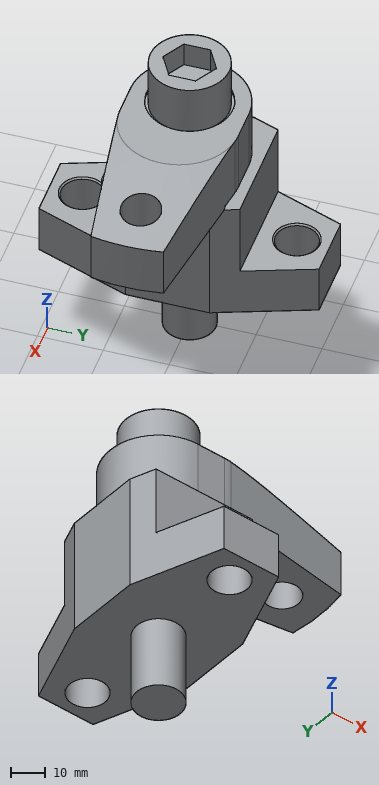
import cadquery as cq
import math

screw_length = 101.0
shank_radius = 8.0
head_radius = 12.0
head_height = 16.0
hex_across_flats = 14.0
hex_depth = 8.0

base_bottom = 25.0
base_height = 40.0
base_half_width = 21.0
base_half_length = 42.5
block_half_length = 21.0
straight_half_length = 12.7
side_taper_degrees = 20.0
flange_height = 16.0
mount_hole_offset = 32.5
mount_hole_diameter = 13.0
mount_hole_chamfer = 0.5

pad_radius = 18.0
pad_shift = 10.0
clamp_height = 21.0
arm_taper_degrees = 8.3
arm_reach = 60.0
arm_slope_degrees = 8.8
arm_hole_x = 46.0
arm_hole_diameter = 12.0
boss_radius = 16.0
boss_height = 1.0
relief_end_x = 19.7
seat_radius = 13.0

base_top = base_bottom + base_height
clamp_top = base_top + clamp_height
head_bottom = screw_length - head_height


def make_base():
    """Block with two tapered, drilled flanges and a bore for the screw."""
    taper = math.tan(math.radians(side_taper_degrees))
    end_half_width = base_half_width - (base_half_length - straight_half_length) * taper
    corners = [
        (base_half_width, straight_half_length),
        (end_half_width, base_half_length),
        (-end_half_width, base_half_length),
        (-base_half_width, straight_half_length),
        (-base_half_width, -straight_half_length),
        (-end_half_width, -base_half_length),
        (end_half_width, -base_half_length),
        (base_half_width, -straight_half_length),
    ]
    outline = cq.Workplane("XY", origin=(0, 0, base_bottom)).polyline(corners).close()
    base = outline.extrude(base_height)

    flange_top = base_bottom + flange_height
    flange_length = base_half_length - block_half_length
    flange_center_y = (base_half_length + block_half_length) / 2
    for side in (-1, 1):
        step = (
            cq.Workplane("XY", origin=(0, side * flange_center_y, flange_top))
            .rect(2 * base_half_width, flange_length)
            .extrude(base_height - flange_height)
        )
        base = base.cut(step)

    mouth_diameter = mount_hole_diameter + 2 * mount_hole_chamfer
    base = (
        base.copyWorkplane(cq.Workplane("XY", origin=(0, 0, flange_top)))
        .pushPoints([(0, -mount_hole_offset), (0, mount_hole_offset)])
        .cskHole(mount_hole_diameter, mouth_diameter, 90)
    )

    bore = cq.Workplane("XY").circle(shank_radius).extrude(base_top)
    return base.cut(bore)


def make_arm_slope():
    """Cutter above the arm: its underside is a cone falling away from the pad."""
    outer_radius = arm_reach + pad_radius
    drop = (outer_radius - pad_radius) * math.tan(math.radians(arm_slope_degrees))
    profile = (
        cq.Workplane("XZ", origin=(pad_shift, 0, 0))
        .moveTo(pad_radius, clamp_top)
        .lineTo(outer_radius, clamp_top)
        .lineTo(outer_radius, clamp_top - drop)
        .close()
    )
    cone = profile.revolve(360, (0, 0, 0), (0, 1, 0))
    arm_side = (
        cq.Workplane("XY", origin=(pad_shift, 0, 0))
        .rect(outer_radius, 2 * outer_radius, centered=(False, True))
        .extrude(clamp_top)
    )
    return cone.intersect(arm_side)


def make_clamp():
    """Clamping arm that rests on the base with a round boss."""
    taper = math.radians(arm_taper_degrees)
    tangent_x = pad_shift + pad_radius * math.sin(taper)
    tangent_y = pad_radius * math.cos(taper)

    side_distance = pad_radius + pad_shift * math.sin(taper)
    corner_angle = math.asin(side_distance / arm_reach) - taper
    corner_x = arm_reach * math.cos(corner_angle)
    corner_y = arm_reach * math.sin(corner_angle)

    clamp = (
        cq.Workplane("XY", origin=(0, 0, base_top))
        .moveTo(0, pad_radius)
        .lineTo(pad_shift, pad_radius)
        .threePointArc(
            (
                pad_shift + pad_radius * math.sin(taper / 2),
                pad_radius * math.cos(taper / 2),
            ),
            (tangent_x, tangent_y),
        )
        .lineTo(corner_x, corner_y)
        .threePointArc((arm_reach, 0), (corner_x, -corner_y))
        .lineTo(tangent_x, -tangent_y)
        .threePointArc(
            (
                pad_shift + pad_radius * math.sin(taper / 2),
                -pad_radius * math.cos(taper / 2),
            ),
            (pad_shift, -pad_radius),
        )
        .lineTo(0, -pad_radius)
        .threePointArc((-pad_radius, 0), (0, pad_radius))
        .close()
        .extrude(clamp_height)
    )
    clamp = clamp.cut(make_arm_slope())

    relief = (
        cq.Workplane("XZ")
        .moveTo(-pad_radius, base_top)
        .lineTo(relief_end_x, base_top)
        .lineTo(relief_end_x - boss_height, base_top + boss_height)
        .lineTo(-pad_radius, base_top + boss_height)
        .close()
        .extrude(pad_radius, both=True)
    )
    boss = cq.Workplane("XY", origin=(0, 0, base_top)).circle(boss_radius).extrude(boss_height)
    clamp = clamp.cut(relief.cut(boss))

    bore = cq.Workplane("XY").circle(shank_radius).extrude(clamp_top)
    seat = (
        cq.Workplane("XY", origin=(0, 0, head_bottom))
        .circle(seat_radius)
        .extrude(clamp_top - head_bottom)
    )
    arm_hole = (
        cq.Workplane("XY", origin=(arm_hole_x, 0, 0))
        .circle(arm_hole_diameter / 2)
        .extrude(clamp_top)
    )
    return clamp.cut(bore).cut(seat).cut(arm_hole)


def make_screw():
    """Socket head screw with two socket corners on the Y axis."""
    shank = cq.Workplane("XY").circle(shank_radius).extrude(head_bottom)
    head = (
        cq.Workplane("XY", origin=(0, 0, head_bottom))
        .circle(head_radius)
        .extrude(head_height)
    )
    across_corners = hex_across_flats / math.cos(math.radians(30))
    socket = (
        cq.Workplane("XY", origin=(0, 0, screw_length))
        .transformed(rotate=(0, 0, 90))
        .polygon(6, across_corners)
        .extrude(-hex_depth)
    )
    return shank.union(head).cut(socket)


base = make_base()
clamp = make_clamp()
screw = make_screw()

result = cq.Compound.makeCompound([base.val(), clamp.val(), screw.val()])